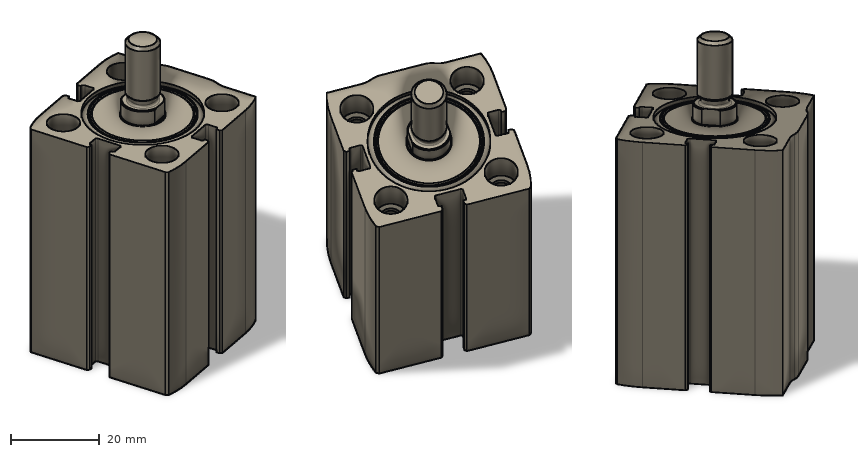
import cadquery as cq
import math

total_height = 78.5
housing_height = 59.0
housing_width = 38.5
half_width = housing_width / 2

side_flat_half = 12.95
corner_inset = 1.0
front_corner_chamfer = 0.5
hump_height = 1.0
hump_top_half = 5.1
hump_foot_half = 10.05

slot_mouth = 5.1
slot_width = 6.7
slot_lip = 1.3
slot_depth = 4.5
slot_fillet = 0.5
slot_mouth_chamfer = 0.5

bolt_offset = 13.0
bolt_hole_dia = 4.2
bolt_bevel_dia = 5.0
bolt_bevel_depth = 0.4
counterbore_dia = 7.5
counterbore_depth = 7.0

cover_recess = 0.3
cover_z = housing_height - cover_recess
cover_groove_dia = 27.8
cover_ring_dia = 25.0
cover_groove_depth = 0.7
seam_outer_dia = 24.3
seam_inner_dia = 22.9
seam_depth = 0.3

rod_dia = 10.4
rod_insertion = 7.85
collar_dia = 10.0
shoulder_bevel = (rod_dia - collar_dia) / 2
collar_height = 3.5
collar_chamfer = 0.2
flats_width = 9.0
neck_dia = 6.4
neck_fillet = 0.55
thread_dia = 8.0
thread_start = 5.65
thread_chamfer = 0.8
thread_runout = 0.6


def housing_outline():
    """Square profile with bowed side ends and a smooth hump on the back."""
    corner_x = half_width - corner_inset
    bow_run = half_width - side_flat_half
    bow_radius = (bow_run**2 + corner_inset**2) / (2 * corner_inset)
    half_angle = math.asin(bow_run / bow_radius) / 2
    bow_mid_x = half_width - bow_radius * (1 - math.cos(half_angle))
    bow_mid_y = side_flat_half + bow_radius * math.sin(half_angle)

    hump_middle = (hump_top_half + hump_foot_half) / 2
    back_y = half_width
    hump_y = half_width + hump_height

    return (
        cq.Workplane("XY")
        .moveTo(-half_width, -side_flat_half)
        .lineTo(-half_width, side_flat_half)
        .threePointArc((-bow_mid_x, bow_mid_y), (-corner_x, back_y))
        .lineTo(-hump_foot_half, back_y)
        .tangentArcPoint((-hump_middle, back_y + hump_height / 2), relative=False)
        .tangentArcPoint((-hump_top_half, hump_y), relative=False)
        .lineTo(hump_top_half, hump_y)
        .tangentArcPoint((hump_middle, back_y + hump_height / 2), relative=False)
        .tangentArcPoint((hump_foot_half, back_y), relative=False)
        .lineTo(corner_x, back_y)
        .threePointArc((bow_mid_x, bow_mid_y), (half_width, side_flat_half))
        .lineTo(half_width, -side_flat_half)
        .threePointArc((bow_mid_x, -bow_mid_y), (corner_x, -half_width))
        .lineTo(-corner_x, -half_width)
        .threePointArc((-bow_mid_x, -bow_mid_y), (-half_width, -side_flat_half))
        .close()
    )


def t_slot():
    """Full-height cutter for the slot in the -Y side."""
    channel_depth = slot_depth - slot_lip
    channel_middle_y = -half_width + slot_lip + channel_depth / 2
    channel = (
        cq.Workplane("XY")
        .center(0, channel_middle_y)
        .rect(slot_width, channel_depth)
        .extrude(housing_height)
        .edges("|Z")
        .fillet(slot_fillet)
    )
    mouth_half = slot_mouth / 2
    flare_half = mouth_half + slot_mouth_chamfer
    mouth = (
        cq.Workplane("XY")
        .polyline([
            (-flare_half, -half_width),
            (-mouth_half, -half_width + slot_mouth_chamfer),
            (-mouth_half, channel_middle_y),
            (mouth_half, channel_middle_y),
            (mouth_half, -half_width + slot_mouth_chamfer),
            (flare_half, -half_width),
        ])
        .close()
        .extrude(housing_height)
    )
    return channel.union(mouth)


def bolt_hole():
    """Through hole with a bevelled edge at the floor of its counterbore."""
    floor_z = housing_height - counterbore_depth
    return (
        cq.Workplane("XZ")
        .polyline([
            (0, 0),
            (bolt_hole_dia / 2, 0),
            (bolt_hole_dia / 2, floor_z - bolt_bevel_depth),
            (bolt_bevel_dia / 2, floor_z),
            (counterbore_dia / 2, floor_z),
            (counterbore_dia / 2, housing_height),
            (0, housing_height),
        ])
        .close()
        .revolve(360, (0, 0), (0, 1))
    )


def ring_groove(inner_dia, lowest_dia, outer_dia, depth):
    """Triangular ring groove in the cover face, deepest at lowest_dia."""
    return (
        cq.Workplane("XZ")
        .polyline([
            (inner_dia / 2, cover_z),
            (lowest_dia / 2, cover_z - depth),
            (outer_dia / 2, cover_z),
        ])
        .close()
        .revolve(360, (0, 0), (0, 1))
    )


def make_housing():
    body = housing_outline().extrude(housing_height)
    body = body.faces("<Y").edges("|Z").chamfer(front_corner_chamfer)

    for angle in (0, 90, -90):
        body = body.cut(t_slot().rotate((0, 0, 0), (0, 0, 1), angle))

    for x in (-bolt_offset, bolt_offset):
        for y in (-bolt_offset, bolt_offset):
            body = body.cut(bolt_hole().translate((x, y, 0)))

    seam_middle_dia = (seam_inner_dia + seam_outer_dia) / 2
    recess = cq.Workplane("XY").circle(cover_groove_dia / 2).extrude(cover_recess)
    body = body.cut(recess.translate((0, 0, cover_z)))
    body = body.cut(ring_groove(cover_ring_dia, cover_groove_dia, cover_groove_dia, cover_groove_depth))
    body = body.cut(ring_groove(seam_inner_dia, seam_middle_dia, seam_outer_dia, seam_depth))

    rod_bore = cq.Workplane("XY").circle(rod_dia / 2).extrude(rod_insertion)
    return body.cut(rod_bore.translate((0, 0, cover_z - rod_insertion)))


def make_rod():
    """Rod with a bevelled shoulder, a flatted collar, a relief neck and a plain thread end."""
    collar_top = housing_height + collar_height
    thread_bottom = housing_height + thread_start
    rod_radius = rod_dia / 2
    collar_radius = collar_dia / 2
    neck_radius = neck_dia / 2
    thread_radius = thread_dia / 2
    fillet_mid = neck_fillet * (1 - math.sqrt(0.5))

    rod = (
        cq.Workplane("XZ")
        .moveTo(0, cover_z - rod_insertion)
        .lineTo(rod_radius, cover_z - rod_insertion)
        .lineTo(rod_radius, cover_z - shoulder_bevel)
        .lineTo(collar_radius, cover_z)
        .lineTo(collar_radius, collar_top - collar_chamfer)
        .lineTo(collar_radius - collar_chamfer, collar_top)
        .lineTo(neck_radius + neck_fillet, collar_top)
        .threePointArc(
            (neck_radius + fillet_mid, collar_top + fillet_mid),
            (neck_radius, collar_top + neck_fillet),
        )
        .lineTo(neck_radius, thread_bottom - thread_runout)
        .lineTo(thread_radius, thread_bottom)
        .lineTo(thread_radius, total_height - thread_chamfer)
        .lineTo(thread_radius - thread_chamfer, total_height)
        .lineTo(0, total_height)
        .close()
        .revolve(360, (0, 0), (0, 1))
    )

    flat_height = collar_top - cover_z
    flat_cut = (collar_dia - flats_width) / 2
    for side in (-1, 1):
        cutter = cq.Workplane("XY").box(flat_cut, collar_dia, flat_height, centered=(True, True, False))
        rod = rod.cut(cutter.translate((side * (flats_width + flat_cut) / 2, 0, cover_z)))
    return rod


housing = make_housing()
rod = make_rod()

result = cq.Compound.makeCompound([housing.val(), rod.val()])